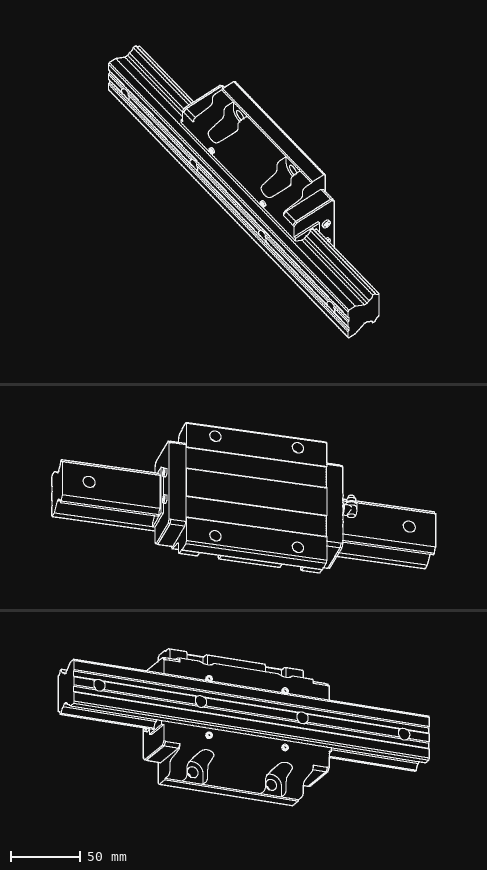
import cadquery as cq
import math


rail_length = 280.0
rail_half_width = 17.0
rail_height = 28.5
rail_base_height = 6.7
rail_edge_height = 0.8
rail_edge_width = 1.5
rail_waist_half_width = 11.5
rail_waist_bottom = 15.0
rail_waist_top = 17.5
lower_race_bottom = 19.3
lower_race_half_width = 13.2
lip_bottom = 22.7
lip_top = 25.2
rail_top_half_width = 13.7
relief_inner = 3.0
relief_outer = 8.7
relief_depth = 0.8
rail_hole_count = 4
rail_hole_pitch = 80.0
rail_hole_diameter = 9.0

block_length = 105.3
carriage_bottom = 9.2
carriage_top = 48.0
carriage_width = 100.0
flange_half_width = carriage_width / 2
flange_bottom = 27.0
flange_edge_chamfer = 1.7
flange_step_top = 36.0
flange_step_bottom = 35.3
flange_step = 0.8
flange_round = 3.5
skirt_half_width_top = 38.5
skirt_half_width_bottom = 35.3
skirt_round = 3.0
top_groove_inner = 11.5
top_groove_outer = 28.8
top_groove_depth = 0.8

flange_hole_pitch_x = 62.0
flange_hole_pitch_z = 82.0
flange_hole_diameter = 8.5
seat_radius = 8.0
seat_height = flange_step_bottom

cap_end = 63.8
plate_end = 65.2
seal_end = 67.0
cap_half_width = 34.2
cap_top = 46.2
cap_chamfer = 2.5
plate_inset = 0.3
seal_half_width = 18.8
seal_top = 31.5

end_screw_height = 38.0
end_screw_offset = 11.0
end_screw_radius = 3.0
screw_head_height = 1.7
cross_length = 3.5
cross_width = 0.8
recess_depth = 0.8
base_screw_pitch_x = 60.0
base_screw_offset = 21.8
base_screw_radius = 2.2
socket_radius = 1.5

nipple_height = 39.8
nipple_axis_x = -73.5
nipple_hex_width = 8.5
nipple_hex_thickness = 1.7
nipple_body_radius = 4.0
nipple_bottom = -4.2
nipple_bottom_radius = 2.8
nipple_dome_start = -0.8
nipple_dome_middle = (3.5, -2.5)
nipple_collar_start = 2.5
nipple_collar_radius = 4.2
nipple_collar_end = 5.0
nipple_neck_radius = 2.5
nipple_head_start = 6.5
nipple_head_radius = 3.5
nipple_head_end = 9.0
nipple_tip_radius = 2.0
nipple_tip = 11.8


def centred_box(x_size, y_bottom, y_top, z_size):
    """Box centred on X = 0 and Z = 0 between two heights."""
    y_middle = (y_bottom + y_top) / 2
    return cq.Workplane("XY").box(x_size, y_top - y_bottom, z_size).translate((0, y_middle, 0))


def vertical_cylinder(x, z, y_bottom, y_top, radius):
    """Cylinder along Y between two heights."""
    base = cq.Vector(x, y_bottom, z)
    return cq.Workplane(cq.Solid.makeCylinder(radius, y_top - y_bottom, base, cq.Vector(0, 1, 0)))


def rail_half(side):
    """Solid of one half of the rail, on the side (+1 or -1) of Z = 0, without holes."""
    middle = math.sqrt(0.5)
    upper_radius_y = rail_height - lip_top
    upper_radius_z = rail_half_width - rail_top_half_width
    lower_radius_y = lip_bottom - lower_race_bottom
    lower_radius_z = rail_half_width - lower_race_half_width
    upper_middle = (
        rail_height - upper_radius_y * middle,
        side * (rail_half_width - upper_radius_z * middle),
    )
    lower_middle = (
        lower_race_bottom + lower_radius_y * middle,
        side * (rail_half_width - lower_radius_z * middle),
    )
    return (
        cq.Workplane("YZ", origin=(-rail_length / 2, 0, 0))
        .moveTo(0, 0)
        .lineTo(0, side * relief_inner)
        .lineTo(relief_depth, side * (relief_inner + relief_depth))
        .lineTo(relief_depth, side * (relief_outer - relief_depth))
        .lineTo(0, side * relief_outer)
        .lineTo(0, side * (rail_half_width - rail_edge_width))
        .lineTo(rail_edge_height, side * rail_half_width)
        .lineTo(rail_base_height, side * rail_half_width)
        .lineTo(rail_waist_bottom, side * rail_waist_half_width)
        .lineTo(rail_waist_top, side * rail_waist_half_width)
        .lineTo(lower_race_bottom, side * lower_race_half_width)
        .threePointArc(lower_middle, (lip_bottom, side * rail_half_width))
        .lineTo(lip_top, side * rail_half_width)
        .threePointArc(upper_middle, (rail_height, side * rail_top_half_width))
        .lineTo(rail_height, 0)
        .close()
        .extrude(rail_length)
    )


def make_rail_bar():
    """Rail without its holes."""
    return rail_half(1).union(rail_half(-1)).clean()


def make_rail():
    rail = make_rail_bar()
    for index in range(rail_hole_count):
        x = (index - (rail_hole_count - 1) / 2) * rail_hole_pitch
        rail = rail.cut(vertical_cylinder(x, 0, 0, rail_height, rail_hole_diameter / 2))
    return rail


def make_block():
    """Flanged middle part of the carriage, without the flange holes."""
    half_outline = [
        (carriage_bottom, skirt_half_width_bottom),
        (flange_bottom, skirt_half_width_top),
        (flange_bottom, flange_half_width - flange_step),
        (flange_step_bottom, flange_half_width - flange_step),
        (flange_step_top, flange_half_width),
        (carriage_top - flange_edge_chamfer, flange_half_width),
        (carriage_top, flange_half_width - flange_edge_chamfer),
        (carriage_top, top_groove_outer),
        (carriage_top - top_groove_depth, top_groove_outer),
        (carriage_top - top_groove_depth, top_groove_inner),
        (carriage_top, top_groove_inner),
    ]
    mirrored = [(y, -z) for y, z in reversed(half_outline)]
    block = (
        cq.Workplane("YZ", origin=(-block_length / 2, 0, 0))
        .polyline(half_outline + mirrored)
        .close()
        .extrude(block_length)
    )
    rounded_corners = [
        (carriage_bottom, skirt_half_width_bottom, skirt_round),
        (flange_bottom, skirt_half_width_top, flange_round),
        (flange_bottom, flange_half_width - flange_step, flange_round),
    ]
    for y, z, radius in rounded_corners:
        for side in (1, -1):
            corner = cq.selectors.NearestToPointSelector((0, y, side * z))
            block = block.edges(corner).fillet(radius)
    return block


def flange_seat(x, side):
    """U-shaped cutter below a flange hole, open to the outer side of the flange."""
    hole_z = side * flange_hole_pitch_z / 2
    depth = seat_height - carriage_bottom
    run_out = flange_half_width - flange_hole_pitch_z / 2
    slot = (
        cq.Workplane("XY")
        .box(2 * seat_radius, depth, run_out)
        .translate((x, carriage_bottom + depth / 2, hole_z + side * run_out / 2))
    )
    return slot.union(vertical_cylinder(x, hole_z, carriage_bottom, seat_height, seat_radius))


def cut_flange_hole(carriage, x, side):
    """Carriage with one flange hole and its seat cut out."""
    hole_z = side * flange_hole_pitch_z / 2
    hole = vertical_cylinder(x, hole_z, carriage_bottom, carriage_top, flange_hole_diameter / 2)
    return carriage.cut(flange_seat(x, side)).cut(hole)


def make_end_cover(end, inset):
    """Chamfered cover running through the whole carriage up to +-end, narrowed by inset on each side."""
    cover = centred_box(2 * end, carriage_bottom, cap_top, 2 * (cap_half_width - inset))
    return cover.edges("|X").chamfer(cap_chamfer)


def end_screw_head(end, side):
    """Cross-recessed screw head on the end plate at X direction end (+1 or -1)."""
    workplane = cq.Workplane(
        cq.Plane(
            origin=(end * plate_end, end_screw_height, side * end_screw_offset),
            xDir=(0, 1, 0),
            normal=(end, 0, 0),
        )
    )
    head = workplane.circle(end_screw_radius).extrude(screw_head_height)
    cross = workplane.workplane(offset=screw_head_height - recess_depth)
    for arm in ((cross_length, cross_width), (cross_width, cross_length)):
        head = head.cut(cross.rect(*arm).extrude(recess_depth))
    return head


def base_screw_head(x, z):
    """Socket screw head standing out of the underside of the carriage."""
    bottom = carriage_bottom - screw_head_height
    head = vertical_cylinder(x, z, bottom, carriage_bottom, base_screw_radius)
    return head.cut(vertical_cylinder(x, z, bottom, bottom + recess_depth, socket_radius))


def make_carriage():
    carriage = make_block()
    carriage = carriage.union(make_end_cover(cap_end, 0))
    carriage = carriage.union(make_end_cover(plate_end, plate_inset))
    carriage = carriage.union(centred_box(2 * seal_end, carriage_bottom, seal_top, 2 * seal_half_width))
    for end in (1, -1):
        for side in (1, -1):
            carriage = carriage.union(end_screw_head(end, side))
            carriage = cut_flange_hole(carriage, end * flange_hole_pitch_x / 2, side)
            base_x = end * base_screw_pitch_x / 2
            carriage = carriage.union(base_screw_head(base_x, side * base_screw_offset))
    return carriage.cut(make_rail_bar())


def make_nipple():
    """Angled grease nipple: a stem along X from the end plate, carrying a body along Z."""
    upper_profile = [
        (nipple_body_radius, nipple_collar_start),
        (nipple_collar_radius, nipple_collar_start),
        (nipple_collar_radius, nipple_collar_end),
        (nipple_neck_radius, nipple_collar_end),
        (nipple_neck_radius, nipple_head_start),
        (nipple_head_radius, nipple_head_start),
        (nipple_head_radius, nipple_head_end),
        (nipple_tip_radius, nipple_tip),
        (0, nipple_tip),
    ]
    body = (
        cq.Workplane("XZ")
        .moveTo(0, nipple_bottom)
        .lineTo(nipple_bottom_radius, nipple_bottom)
        .threePointArc(nipple_dome_middle, (nipple_body_radius, nipple_dome_start))
        .polyline(upper_profile, includeCurrent=True)
        .close()
        .revolve(360, (0, 0, 0), (0, 1, 0))
        .translate((nipple_axis_x, nipple_height, 0))
    )
    seat = cq.Workplane("YZ", origin=(-plate_end, nipple_height, 0))
    stem_length = -plate_end - nipple_axis_x
    stem = seat.circle(nipple_body_radius).extrude(-stem_length)
    hex_corner_diameter = nipple_hex_width / math.cos(math.pi / 6)
    collar = seat.polygon(6, hex_corner_diameter).extrude(-nipple_hex_thickness)
    return body.union(stem).union(collar)


rail = make_rail()
carriage = make_carriage()
nipple = make_nipple()
result = cq.Compound.makeCompound([rail.solids().val(), carriage.solids().val(), nipple.solids().val()])